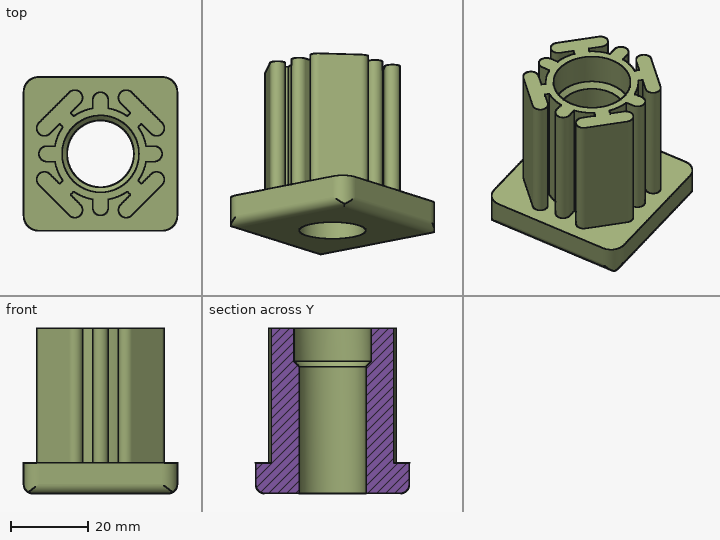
import cadquery as cq

total_height = 43.0
cap_width = 40.0
cap_height = 8.0
cap_corner_radius = 4.0
cap_edge_radius = 2.5

tube_diameter = 24.0
bore_diameter = 20.0
through_diameter = 17.3
bore_depth = 8.65

wall = 4.0
rib_reach = 16.0
bar_distance = 15.0
bar_length = 15.18

stem_height = total_height - cap_height


def make_cap():
    """Square cap with mitred rounded lower edges and round vertical corners."""
    def block():
        return cq.Workplane("XY").box(cap_width, cap_width, cap_height, centered=(True, True, False))

    cap = block().edges("|Z").fillet(cap_corner_radius)
    for direction in ("|X", "|Y"):
        cap = cap.intersect(block().faces("<Z").edges(direction).fillet(cap_edge_radius))
    return cap


def make_rib(angle):
    """Radial rib with a round tip, starting at the tube axis."""
    straight = rib_reach - wall / 2
    rib = (
        cq.Workplane("XY", origin=(0, 0, cap_height))
        .moveTo(0, -wall / 2)
        .lineTo(straight, -wall / 2)
        .threePointArc((rib_reach, 0), (straight, wall / 2))
        .lineTo(0, wall / 2)
        .close()
        .extrude(stem_height)
    )
    return rib.rotate((0, 0, 0), (0, 0, 1), angle)


def make_corner_bar(angle):
    """Round-ended bar across a diagonal, joined to the tube by a neck."""
    base = cq.Workplane("XY", origin=(0, 0, cap_height))
    bar = base.center(bar_distance, 0).slot2D(bar_length, wall, 90).extrude(stem_height)
    neck = base.center(bar_distance / 2, 0).rect(bar_distance, wall).extrude(stem_height)
    return bar.union(neck).rotate((0, 0, 0), (0, 0, 1), angle)


def make_bore():
    """Wide upper bore narrowing through a 45 degree shoulder to the through hole."""
    bore_radius = bore_diameter / 2
    through_radius = through_diameter / 2
    shoulder_top = total_height - bore_depth
    shoulder_bottom = shoulder_top - (bore_radius - through_radius)
    return (
        cq.Workplane("XZ")
        .polyline([
            (0, 0),
            (through_radius, 0),
            (through_radius, shoulder_bottom),
            (bore_radius, shoulder_top),
            (bore_radius, total_height),
            (0, total_height),
        ])
        .close()
        .revolve(360, (0, 0, 0), (0, 1, 0))
    )


tube = cq.Workplane("XY", origin=(0, 0, cap_height)).circle(tube_diameter / 2).extrude(stem_height)
body = make_cap().union(tube)
for quarter_turn in (0, 90, 180, 270):
    body = body.union(make_rib(quarter_turn))
    body = body.union(make_corner_bar(quarter_turn + 45))

result = body.cut(make_bore())